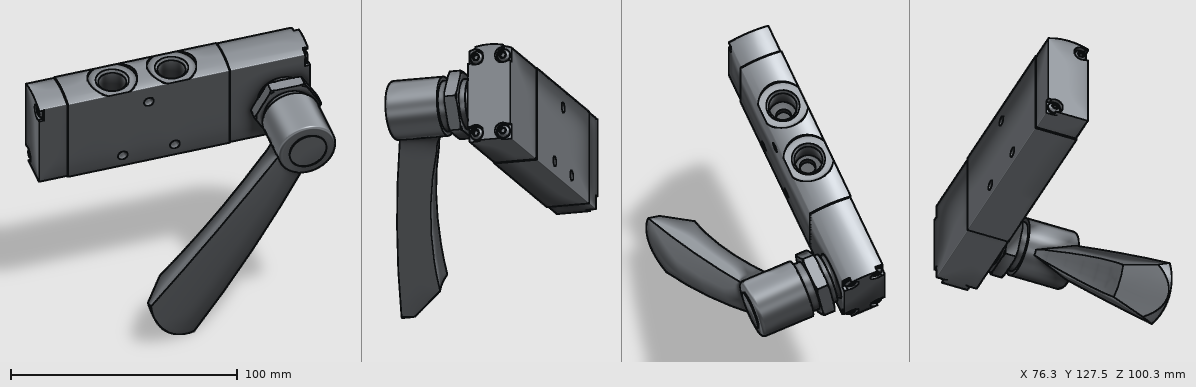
import cadquery as cq
import math

BLOCK_WIDTH = 20.0
BLOCK_HEIGHT = 44.0
CROWN_RISE = 1.8
BODY_FRONT_Y = 13.0
BODY_BACK_Y = 88.6
HEAD_BACK_Y = 125.7
COVER_INSET = 0.4
EDGE_RADIUS = 0.5
BODY_END_CHAMFER = 0.4
CENTER_X = BLOCK_WIDTH / 2
BODY_CENTER_Y = (BODY_FRONT_Y + BODY_BACK_Y) / 2
SIDE_HEIGHT = BLOCK_HEIGHT - CROWN_RISE

PORT_SPACING = 27.5
SPOTFACE_DIAMETER = 22.0
PORT_DIAMETER = 12.5
PORT_CHAMFER = 1.1
PORT_DEPTH = 12.0
PASSAGE_DIAMETER = 7.0
PASSAGE_SPACING = 25.9
PASSAGE_DEPTH = 3.8

MOUNT_DIAMETER = 4.5
MOUNT_SPACING = 24.2
LOW_MOUNT_Z = 6.1
HIGH_MOUNT_Z = 34.0

SCREW_INSET = 4.0
LEFT_SCREW_X = SCREW_INSET
RIGHT_SCREW_X = BLOCK_WIDTH - SCREW_INSET + COVER_INSET
LOW_SCREW_Z = SCREW_INSET
HIGH_SCREW_Z = 38.6
POCKET_DIAMETER = 7.0
POCKET_DEPTH = 2.4
SCREW_DIAMETER = 5.9
SCREW_RIM_HEIGHT = 0.6
SCREW_HEIGHT = 2.0
SCREW_DOME_POINT = (2.3, 1.5)
SOCKET_DIAMETER = 2.4
SOCKET_OUTER_DIAMETER = 3.0
SOCKET_LOBES = 6
SOCKET_DEPTH = 1.0

AXIS_TO_BACK = 13.8
AXIS_Y = HEAD_BACK_Y - AXIS_TO_BACK
AXIS_Z = 21.3

NECK_END_RADIUS = 10.7
NECK_WAIST_RADIUS = 10.1
THREAD_START_X = 22.2
THREAD_DIAMETER = 22.6
NUT_START_X = 25.0
NUT_THICKNESS = 5.7
NUT_ACROSS_FLATS = 27.0
NUT_ACROSS_CORNERS = NUT_ACROSS_FLATS / math.cos(math.pi / 6)
NUT_CHAMFER_HEIGHT = 0.4
NUT_CHAMFER_WIDTH = 1.1

HUB_START_X = 34.7
HUB_SHOULDER_X = 57.4
HUB_FACE_X = 59.0
HUB_END_X = 59.5
HUB_DIAMETER = 26.4
HUB_FACE_DIAMETER = 23.0
BOSS_DIAMETER = 17.1

ARM_SWEEP_X = 10.2
ARM_FLARE_ARC = ((38.1, 12.5), (40.9, 15.2), (43.0, 20.1))
ARM_INNER_ARC = (ARM_FLARE_ARC[-1], (52.4, 50.7), (56.5, 88.4))
ARM_OUTER_ARC = ((76.4, 102.0), (69.0, 57.4), (56.1, 6.4))
ARM_DROP_ANGLE = 45.0
ARM_WEDGE_X = 35.5
ARM_WEDGE_ANGLE = 20.0
ARM_TIP_RADIUS = 19.9
ARM_TIP_REACH = 101.5


def box(x_min, x_max, y_min, y_max, z_min, z_max):
    size = (x_max - x_min, y_max - y_min, z_max - z_min)
    return cq.Workplane("XY").box(*size, centered=False).translate((x_min, y_min, z_min))


def crowned_block(x_min, x_max, z_min, y_front, y_back):
    """Straight-sided block with a shallow arched top and rounded long edges."""
    return (
        cq.Workplane("XZ", origin=(0, y_front, 0))
        .moveTo(x_min, z_min)
        .lineTo(x_max, z_min)
        .lineTo(x_max, SIDE_HEIGHT)
        .threePointArc((CENTER_X, BLOCK_HEIGHT), (x_min, SIDE_HEIGHT))
        .close()
        .extrude(y_front - y_back)
        .edges("|Y")
        .fillet(EDGE_RADIUS)
    )


def axial_cylinder(diameter, x_start, x_end):
    """Cylinder on the operating axis."""
    return (
        cq.Workplane("YZ", origin=(x_start, AXIS_Y, AXIS_Z))
        .circle(diameter / 2)
        .extrude(x_end - x_start)
    )



def port_cut(port_y, passage_y):
    """Spotface, chamfered port and the narrower passage at its floor."""
    port = cq.Workplane("XY", origin=(CENTER_X, port_y, SIDE_HEIGHT))
    spotface = port.circle(SPOTFACE_DIAMETER / 2).extrude(2 * CROWN_RISE)
    bore = port.circle(PORT_DIAMETER / 2).extrude(-PORT_DEPTH)
    chamfer_cone = cq.Workplane(
        cq.Solid.makeCone(
            PORT_DIAMETER / 2 + PORT_CHAMFER,
            PORT_DIAMETER / 2,
            PORT_CHAMFER,
            cq.Vector(CENTER_X, port_y, SIDE_HEIGHT),
            cq.Vector(0, 0, -1),
        )
    )
    passage = (
        cq.Workplane("XY", origin=(CENTER_X, passage_y, SIDE_HEIGHT - PORT_DEPTH))
        .circle(PASSAGE_DIAMETER / 2)
        .extrude(-PASSAGE_DEPTH)
    )
    return spotface.union(bore).union(chamfer_cone).union(passage)


def make_valve_body():
    body = crowned_block(0, BLOCK_WIDTH, 0, BODY_FRONT_Y, BODY_BACK_Y)
    body = body.faces("<Y or >Y").chamfer(BODY_END_CHAMFER)
    for side in (-1, 1):
        port_y = BODY_CENTER_Y + side * PORT_SPACING / 2
        passage_y = BODY_CENTER_Y + side * PASSAGE_SPACING / 2
        body = body.cut(port_cut(port_y, passage_y))
    mount_points = [
        (BODY_CENTER_Y, HIGH_MOUNT_Z),
        (BODY_CENTER_Y - MOUNT_SPACING / 2, LOW_MOUNT_Z),
        (BODY_CENTER_Y + MOUNT_SPACING / 2, LOW_MOUNT_Z),
    ]
    mount_holes = (
        cq.Workplane("YZ").pushPoints(mount_points).circle(MOUNT_DIAMETER / 2).extrude(BLOCK_WIDTH)
    )
    return body.cut(mount_holes)



def pocket_cut(x, z, open_top):
    """Round pocket, mouth at Y = 0 and floor at +Y, slotted to the near side.

    A low slot also opens at the bottom; a high one opens at the top when open_top is set.
    """
    pocket = cq.Workplane("XZ").center(x, z).circle(POCKET_DIAMETER / 2).extrude(-POCKET_DEPTH)
    x_outside = 0 if x < CENTER_X else BLOCK_WIDTH
    z_min = 0 if z == LOW_SCREW_Z else z - SCREW_DIAMETER / 2
    z_max = BLOCK_HEIGHT if open_top else z + SCREW_DIAMETER / 2
    slot = box(min(x, x_outside), max(x, x_outside), 0, POCKET_DEPTH, z_min, z_max)
    return pocket.union(slot)


def screw_head(x, z):
    """Domed screw head with a lobed socket, seated on the pocket floor at Y = POCKET_DEPTH."""
    radius = SCREW_DIAMETER / 2
    head = (
        cq.Workplane("XY")
        .lineTo(radius, 0)
        .lineTo(radius, SCREW_RIM_HEIGHT)
        .threePointArc(SCREW_DOME_POINT, (SOCKET_OUTER_DIAMETER / 2, SCREW_HEIGHT))
        .lineTo(0, SCREW_HEIGHT)
        .close()
        .revolve(360, (0, 0), (0, 1))
    )
    socket_floor = cq.Workplane("XZ", origin=(0, SCREW_HEIGHT - SOCKET_DEPTH, 0))
    lobe_diameter = SOCKET_OUTER_DIAMETER - SOCKET_DIAMETER
    socket = socket_floor.circle(SOCKET_DIAMETER / 2).extrude(-SOCKET_DEPTH)
    lobes = (
        socket_floor.polarArray(SOCKET_DIAMETER / 2, 0, 360, SOCKET_LOBES)
        .circle(lobe_diameter / 2)
        .extrude(-SOCKET_DEPTH)
    )
    head = head.cut(socket).cut(lobes)
    return head.rotate((0, 0, 0), (0, 0, 1), 180).translate((x, POCKET_DEPTH, z))


def add_cover_screw(cover, x, z, open_top, at_back):
    """Sink one screw into the front face of the end cover or the back face of the head."""
    pocket = pocket_cut(x, z, open_top)
    head = screw_head(x, z)
    if at_back:
        pocket = pocket.mirror("XZ").translate((0, HEAD_BACK_Y, 0))
        head = head.mirror("XZ").translate((0, HEAD_BACK_Y, 0))
    return cover.cut(pocket).union(head)



def make_end_cover():
    cover = crowned_block(COVER_INSET, BLOCK_WIDTH - COVER_INSET, COVER_INSET, 0, BODY_FRONT_Y)
    cover = add_cover_screw(cover, RIGHT_SCREW_X, HIGH_SCREW_Z, open_top=False, at_back=False)
    return add_cover_screw(cover, LEFT_SCREW_X, LOW_SCREW_Z, open_top=False, at_back=False)



def make_neck():
    """Waisted neck between the block and the thread."""
    middle_x = (BLOCK_WIDTH + THREAD_START_X) / 2
    neck = (
        cq.Workplane("XY")
        .moveTo(BLOCK_WIDTH, 0)
        .lineTo(BLOCK_WIDTH, NECK_END_RADIUS)
        .threePointArc((middle_x, NECK_WAIST_RADIUS), (THREAD_START_X, NECK_END_RADIUS))
        .lineTo(THREAD_START_X, 0)
        .close()
        .revolve(360, (0, 0), (1, 0))
    )
    return neck.translate((0, AXIS_Y, AXIS_Z))


def make_nut():
    """Hexagon nut with a corner pointing along Y and chamfered corners."""
    nut = (
        cq.Workplane("YZ", origin=(NUT_START_X, AXIS_Y, AXIS_Z))
        .polygon(6, NUT_ACROSS_CORNERS)
        .extrude(NUT_THICKNESS)
    )
    rounding = (
        axial_cylinder(NUT_ACROSS_CORNERS, NUT_START_X, NUT_START_X + NUT_THICKNESS)
        .faces(">X or <X")
        .chamfer(NUT_CHAMFER_HEIGHT, NUT_CHAMFER_WIDTH)
    )
    return nut.intersect(rounding)


def make_actuator_head():
    head = crowned_block(COVER_INSET, BLOCK_WIDTH, COVER_INSET, BODY_BACK_Y, HEAD_BACK_Y)
    head = head.union(make_neck())
    head = head.union(axial_cylinder(THREAD_DIAMETER, THREAD_START_X, HUB_START_X))
    head = head.union(make_nut())
    for x in (LEFT_SCREW_X, RIGHT_SCREW_X):
        head = add_cover_screw(head, x, HIGH_SCREW_Z, open_top=True, at_back=True)
        head = add_cover_screw(head, x, LOW_SCREW_Z, open_top=False, at_back=True)
    return head



def make_hub():
    """Round hub with a rounded shoulder and a low boss on its end face."""
    hub_radius = HUB_DIAMETER / 2
    face_radius = HUB_FACE_DIAMETER / 2
    hub = (
        cq.Workplane("XY")
        .moveTo(HUB_START_X, 0)
        .lineTo(HUB_START_X, hub_radius)
        .lineTo(HUB_SHOULDER_X, hub_radius)
        .tangentArcPoint((HUB_FACE_X, face_radius), relative=False)
        .lineTo(HUB_FACE_X, 0)
        .close()
        .revolve(360, (0, 0), (1, 0))
        .translate((0, AXIS_Y, AXIS_Z))
    )
    return hub.union(axial_cylinder(BOSS_DIAMETER, HUB_FACE_X, HUB_END_X))


def make_arm():
    """Curved arm that leaves the hub toward -Y, sloping down.

    It is built with the hub axis on X and its length along Y, then turned into place.
    """
    blade = (
        cq.Workplane("XY")
        .moveTo(*ARM_FLARE_ARC[0])
        .threePointArc(*ARM_FLARE_ARC[1:])
        .threePointArc(*ARM_INNER_ARC[1:])
        .lineTo(*ARM_OUTER_ARC[0])
        .threePointArc(*ARM_OUTER_ARC[1:])
        .close()
        .revolve(360, (ARM_SWEEP_X, 0), (ARM_SWEEP_X, 1))
    )
    wedge_length = 2 * HUB_END_X
    half_spread = wedge_length * math.tan(math.radians(ARM_WEDGE_ANGLE))
    wedge_end_x = ARM_WEDGE_X + wedge_length
    wedge = (
        cq.Workplane("XZ")
        .polyline([(ARM_WEDGE_X, 0), (wedge_end_x, -half_spread), (wedge_end_x, half_spread)])
        .close()
        .extrude(-ARM_TIP_REACH)
    )
    tip_center = ARM_TIP_REACH - ARM_TIP_RADIUS
    tip = cq.Workplane("YZ").center(tip_center, 0).circle(ARM_TIP_RADIUS).extrude(wedge_end_x)
    shank = box(0, wedge_end_x, 0, tip_center, -ARM_TIP_RADIUS, ARM_TIP_RADIUS)
    arm = blade.intersect(wedge).intersect(tip.union(shank))
    return arm.rotate((0, 0, 0), (1, 0, 0), -180 + ARM_DROP_ANGLE).translate((0, AXIS_Y, AXIS_Z))


def make_lever():
    return make_hub().union(make_arm())


valve_body = make_valve_body()
end_cover = make_end_cover()
actuator_head = make_actuator_head()
lever = make_lever()

result = cq.Compound.makeCompound(
    [body.solids().val() for body in (valve_body, end_cover, actuator_head, lever)]
)